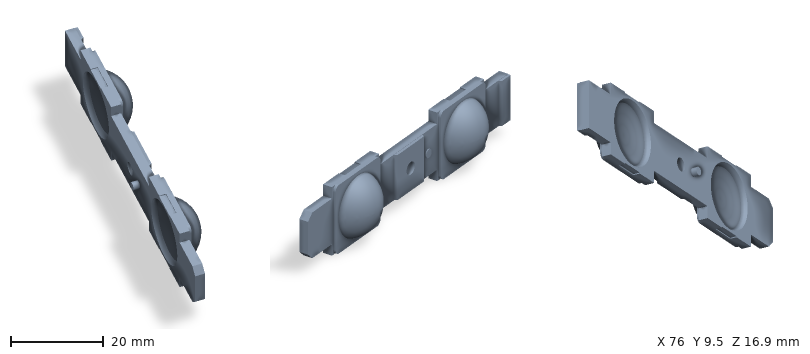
import cadquery as cq

length = 76.0
bar_height = 11.25
plate_thickness = 2.3
end_chamfer = 1.6

lens_offset = 20.0
block_width = 17.9
block_height = 16.9

rim_width = 17.0
rim_corner_radius = 1.3
raised_height = 0.7
back_face = plate_thickness + raised_height

dome_radius = 8.0
mouth_radius = 7.6
mouth_depth = 1.2
floor_radius = 6.9
cavity_depth = 2.3
floor_rise = cavity_depth - mouth_depth
floor_curve_radius = (floor_radius**2 + floor_rise**2) / (2 * floor_rise)

notch_width = 6.1
notch_length = 1.6
notch_depth = 0.2

hole_diameter = 3.1
pin_diameter = 1.9
pin_length = 1.5
pin_x = 4.95

pad_height = 11.1
pad_slope = 0.45
middle_pad_length = 10.95
end_pad_length = 3.65
spot_x = -7.6
spot_diameter = 2.1
spot_height = 0.2

lens_positions = (-lens_offset, lens_offset)


def box(x_min, x_max, height, y_min, y_max):
    """Box centred on Z = 0 between the given X and Y limits."""
    size = (x_max - x_min, y_max - y_min, height)
    return cq.Workplane().box(*size).translate(((x_min + x_max) / 2, (y_min + y_max) / 2, 0))


def rod(x, diameter, y_min, y_max):
    """Round rod along Y, centred on Z = 0."""
    plane = cq.Workplane("XZ", origin=(x, y_min, 0))
    return plane.circle(diameter / 2).extrude(y_min - y_max)


def make_bar():
    bar = box(-length / 2, length / 2, bar_height, 0, plate_thickness)
    return bar.faces(">X").edges("|Y").chamfer(end_chamfer)


def make_block(x):
    block = box(x - block_width / 2, x + block_width / 2, block_height, 0, plate_thickness)
    rim = box(x - rim_width / 2, x + rim_width / 2, block_height, plate_thickness, back_face)
    return block.union(rim.edges("|Y").fillet(rim_corner_radius))


def make_dome(x):
    """Half ball bulging toward +Y."""
    profile = (
        cq.Workplane("XY")
        .lineTo(dome_radius, 0)
        .radiusArc((0, dome_radius), -dome_radius)
        .close()
    )
    return profile.revolve(360, (0, 0, 0), (0, 1, 0)).translate((x, 0, 0))


def make_cavity(x):
    """Conical mouth ending in a shallow curved floor."""
    profile = (
        cq.Workplane("XY")
        .lineTo(mouth_radius, 0)
        .lineTo(floor_radius, mouth_depth)
        .radiusArc((0, cavity_depth), -floor_curve_radius)
        .close()
    )
    return profile.revolve(360, (0, 0, 0), (0, 1, 0)).translate((x, 0, 0))


def make_notch(x, side):
    notch = box(x - notch_width / 2, x + notch_width / 2, 2 * notch_depth, 0, notch_length)
    return notch.translate((0, 0, side * block_height / 2))


def make_pad(x, pad_length):
    """Pad almost as tall as the bar, with its two ends sloping toward its back face."""
    half_base = pad_length / 2
    half_top = half_base - pad_slope
    outline = cq.Workplane("XY", origin=(x, plate_thickness, -pad_height / 2)).polyline(
        [(-half_base, 0), (half_base, 0), (half_top, raised_height), (-half_top, raised_height)]
    )
    return outline.close().extrude(pad_height)


def make_end_pad():
    """Left half of a slope-ended pad, cut off flush with the end of the bar."""
    pad = make_pad(-length / 2, 2 * end_pad_length)
    return pad.intersect(box(-length / 2, length / 2, bar_height, 0, back_face))


result = make_bar()
for lens_x in lens_positions:
    result = result.union(make_block(lens_x)).union(make_dome(lens_x))
for lens_x in lens_positions:
    result = result.cut(make_cavity(lens_x))
    for side in (-1, 1):
        result = result.cut(make_notch(lens_x, side))

result = result.union(make_pad(0, middle_pad_length))
result = result.union(make_end_pad())
result = result.union(rod(spot_x, spot_diameter, plate_thickness, plate_thickness + spot_height))
result = result.union(rod(pin_x, pin_diameter, -pin_length, 0))
result = result.cut(rod(0, hole_diameter, 0, back_face))